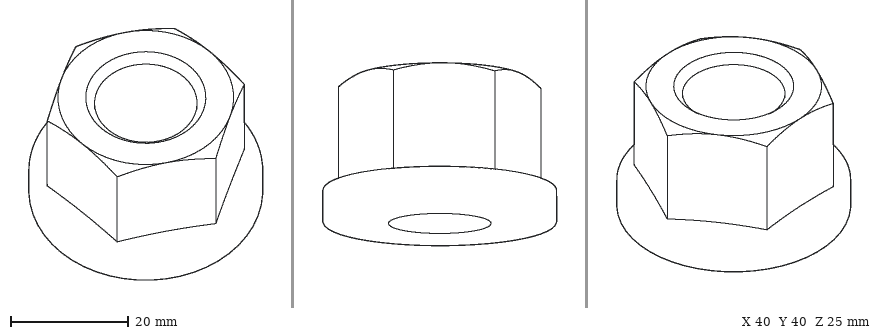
import cadquery as cq
import math

total_height = 25.0
hexagon_sides = 6
half_side_angle = 180.0 / hexagon_sides
across_flats = 30.0
across_corners = across_flats / math.cos(math.radians(half_side_angle))
corner_chamfer_angle = 30.0

flange_diameter = 40.0
flange_rim_height = 6.0
flange_slope_angle = 10.3
flange_edge_radius = 0.5

bore_diameter = 17.5
countersink_diameter = 20.5
countersink_depth = (countersink_diameter - bore_diameter) / 2


def turned(points):
    """Solid of revolution about Z from (radius, height) points, starting at the origin."""
    return cq.Workplane("XZ").polyline([(0, 0)] + points).close().revolve(360, (0, 0), (0, 1))


def make_flange():
    """Disc whose top rises as a shallow cone, with rounded rim edges."""
    radius = flange_diameter / 2
    apex_height = flange_rim_height + radius * math.tan(math.radians(flange_slope_angle))
    disc = turned([(radius, 0), (radius, flange_rim_height), (0, apex_height)])
    return disc.edges("%CIRCLE").fillet(flange_edge_radius)


def make_hexagon():
    """Hexagonal prism whose top corners are trimmed by a cone."""
    prism = (
        cq.Workplane("XY")
        .polygon(hexagon_sides, across_corners)
        .extrude(total_height)
        .rotate((0, 0, 0), (0, 0, 1), half_side_angle)
    )
    top_radius = across_flats / 2
    outer_radius = across_corners - top_radius
    cone_drop = (outer_radius - top_radius) * math.tan(math.radians(corner_chamfer_angle))
    envelope = turned(
        [
            (outer_radius, 0),
            (outer_radius, total_height - cone_drop),
            (top_radius, total_height),
            (0, total_height),
        ]
    )
    return prism.intersect(envelope)


def make_bore():
    """Cutter for the through bore and its countersink."""
    bore_radius = bore_diameter / 2
    return turned(
        [
            (bore_radius, 0),
            (bore_radius, total_height - countersink_depth),
            (countersink_diameter / 2, total_height),
            (0, total_height),
        ]
    )


result = make_flange().union(make_hexagon()).cut(make_bore())